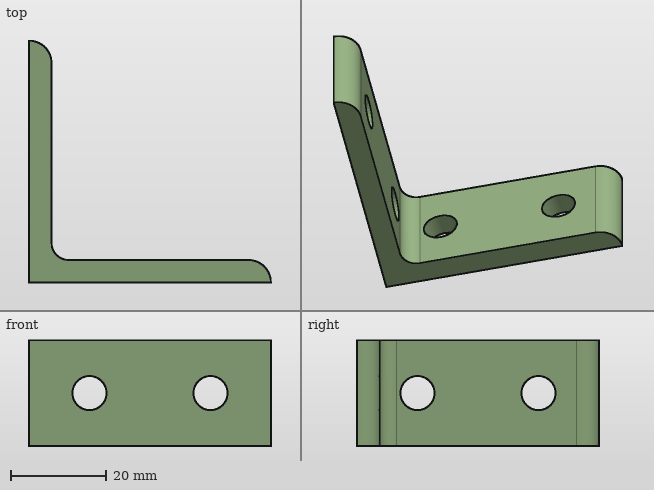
import cadquery as cq

leg_length = 50.8
height = 22.25
thickness = 4.8
inner_radius = 3.5
hole_diameter = 7.1

tip_start = leg_length - thickness
inner_end = thickness + inner_radius

hole_positions = (leg_length / 4, leg_length * 3 / 4)
hole_height = height / 2


def angle_body():
    """L-shaped section with rounded tips and a filleted inner corner, extruded along Z."""
    return (
        cq.Workplane("XY")
        .lineTo(leg_length, 0)
        .radiusArc((tip_start, thickness), -thickness)
        .lineTo(inner_end, thickness)
        .radiusArc((thickness, inner_end), inner_radius)
        .lineTo(thickness, tip_start)
        .radiusArc((0, leg_length), -thickness)
        .close()
        .extrude(height)
    )


def leg_hole(base, direction):
    """Cylinder passing through the thickness of one leg."""
    return cq.Solid.makeCylinder(hole_diameter / 2, thickness, cq.Vector(*base), cq.Vector(*direction))


result = angle_body()
for position in hole_positions:
    result = result.cut(leg_hole((position, 0, hole_height), (0, 1, 0)))
    result = result.cut(leg_hole((0, position, hole_height), (1, 0, 0)))